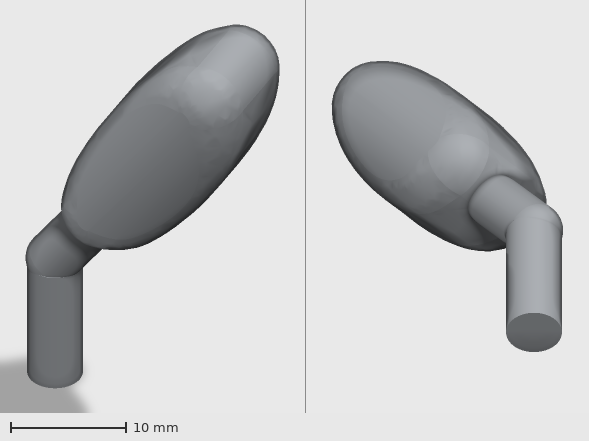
import cadquery as cq
import math

stem_radius = 4.85 / 2
post_height = 12.0
lean_angle = 55.0
joint_x = -0.16
joint_z = 12.35
rod_length = 15.0

head_width = 12.85
dome_radius = 6.6
dome_overrun = 5.0
edge_radius = 3.44

lower_tip = (7.1, 1.5)
upper_tip = (34.9, 0.65)
back_points = [(12.3, 4.6), (16.1, 5.4), (21.0, 5.75), (26.5, 5.45), (30.1, 4.55), (32.3, 3.15)]
belly_points = [
    (8.6, -1.6), (11.5, -4.3), (14.2, -5.1), (18.5, -5.55),
    (24.2, -5.23), (29.5, -3.68), (32.3, -1.9),
]

lean = math.radians(lean_angle)
rod_direction = cq.Vector(math.cos(lean), 0, math.sin(lean))
joint = cq.Vector(joint_x, 0, joint_z)

rod_plane = cq.Plane(origin=joint, xDir=(0, 1, 0), normal=rod_direction)
side_plane = cq.Plane(origin=joint + cq.Vector(0, head_width / 2, 0), xDir=rod_direction, normal=(0, -1, 0))


def make_stem():
    post = cq.Workplane("XY").circle(stem_radius).extrude(post_height)
    ball = cq.Workplane("XY").sphere(stem_radius).translate(joint)
    rod = cq.Workplane(rod_plane).circle(stem_radius).extrude(rod_length)
    return post.union(ball).union(rod)


def make_pod():
    """Leaf-shaped blank of the head, as wide as the head."""
    return (
        cq.Workplane(side_plane)
        .moveTo(*lower_tip)
        .spline(back_points + [upper_tip], includeCurrent=True)
        .spline(belly_points[::-1] + [lower_tip], includeCurrent=True)
        .close()
        .extrude(head_width)
    )


def make_dome(side):
    """Cylinder along the rod whose crest touches the given Y side of the head."""
    axis_y = side * (head_width / 2 - dome_radius)
    return cq.Workplane(rod_plane).center(axis_y, 0).circle(dome_radius).extrude(upper_tip[0] + dome_overrun)


def make_head():
    blank = make_pod().intersect(make_dome(1)).intersect(make_dome(-1))
    return blank.edges().fillet(edge_radius)


result = make_stem().union(make_head())